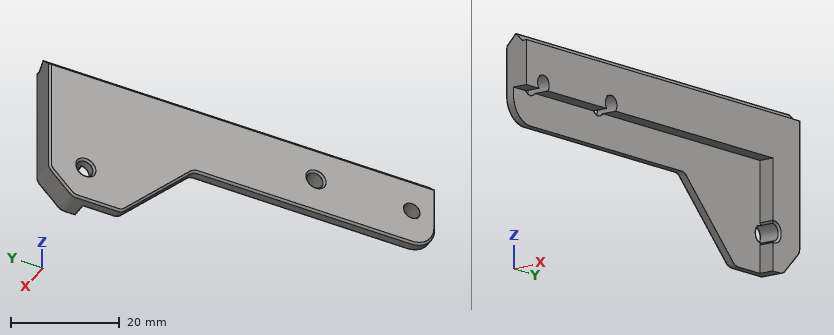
import cadquery as cq

thickness = 5.0
length = 80.5
height = 31.5

arm_bottom_z = 15.0
foot_y = 65.3
foot_bevel = 5.0
arm_tip_radius = 5.0
outline_blend_radius = 2.0
edge_chamfer = 0.4

ridge_x = thickness / 2
ledge_width = 1.0
ledge_x = thickness - ledge_width
ledge_z = height - (ledge_x - ridge_x)
shoulder_z = height - ridge_x

web_thickness = 1.9
rail_bottom_z = 21.4

hole_diameter = 3.4
hole_chamfer = 0.4
arm_hole_z = 22.45
tip_hole_y = 5.0
middle_hole_y = 24.95
foot_hole_y = 72.9
foot_hole_z = 7.5
end_block_y = foot_hole_y - hole_chamfer


def make_plate():
    """Full-thickness plate with its front edges chamfered."""
    plate = (
        cq.Workplane("YZ")
        .moveTo(0, height)
        .lineTo(0, arm_bottom_z)
        .lineTo(foot_y - arm_bottom_z, arm_bottom_z)
        .lineTo(foot_y, 0)
        .lineTo(length - foot_bevel, 0)
        .lineTo(length, foot_bevel)
        .lineTo(length, height)
        .close()
        .extrude(thickness)
    )
    tip_corner = cq.selectors.NearestToPointSelector((thickness / 2, 0, arm_bottom_z))
    plate = plate.edges(tip_corner).fillet(arm_tip_radius)
    for corner_y, corner_z in (
        (foot_y - arm_bottom_z, arm_bottom_z),
        (foot_y, 0),
        (length - foot_bevel, 0),
        (length, foot_bevel),
    ):
        corner = cq.selectors.NearestToPointSelector((thickness / 2, corner_y, corner_z))
        plate = plate.edges(corner).fillet(outline_blend_radius)
    return plate.faces("<X").chamfer(edge_chamfer)


def make_ridge_profile():
    """Envelope that gives the top edge its ridge and its ledge."""
    return (
        cq.Workplane("XZ")
        .moveTo(0, 0)
        .lineTo(thickness, 0)
        .lineTo(thickness, ledge_z)
        .lineTo(ledge_x, ledge_z)
        .lineTo(ridge_x, height)
        .lineTo(0, shoulder_z)
        .close()
        .extrude(-length)
    )


def make_recess():
    """Space behind the web, below the rail and ahead of the end block."""
    depth = thickness - web_thickness
    return (
        cq.Workplane("XY")
        .box(depth, end_block_y, rail_bottom_z, centered=False)
        .translate((web_thickness, 0, 0))
    )


def make_hole(y, z):
    """Plain hole along X through the full thickness."""
    return cq.Workplane("YZ").center(y, z).circle(hole_diameter / 2).extrude(thickness)


def make_countersink(y, z, face_x, inward):
    """45 degree cone that opens a hole at the face at face_x."""
    return cq.Workplane(
        cq.Solid.makeCone(
            hole_diameter / 2 + hole_chamfer,
            hole_diameter / 2,
            hole_chamfer,
            pnt=cq.Vector(face_x, y, z),
            dir=cq.Vector(inward, 0, 0),
        )
    )


def make_foot_hole_mouth():
    """Chamfered opening from the face of the end block into the foot hole."""
    half_width = hole_diameter / 2
    return (
        cq.Workplane("YZ", origin=(web_thickness, 0, foot_hole_z))
        .moveTo(end_block_y, -half_width - hole_chamfer)
        .lineTo(foot_hole_y, -half_width)
        .lineTo(foot_hole_y, half_width)
        .lineTo(end_block_y, half_width + hole_chamfer)
        .close()
        .extrude(thickness - web_thickness)
    )


result = make_plate().intersect(make_ridge_profile()).cut(make_recess())

for hole_y, hole_z in (
    (tip_hole_y, arm_hole_z),
    (middle_hole_y, arm_hole_z),
    (foot_hole_y, foot_hole_z),
):
    result = result.cut(make_hole(hole_y, hole_z))

result = (
    result.cut(make_countersink(middle_hole_y, arm_hole_z, 0, 1))
    .cut(make_countersink(foot_hole_y, foot_hole_z, 0, 1))
    .cut(make_countersink(foot_hole_y, foot_hole_z, thickness, -1))
    .cut(make_foot_hole_mouth())
)